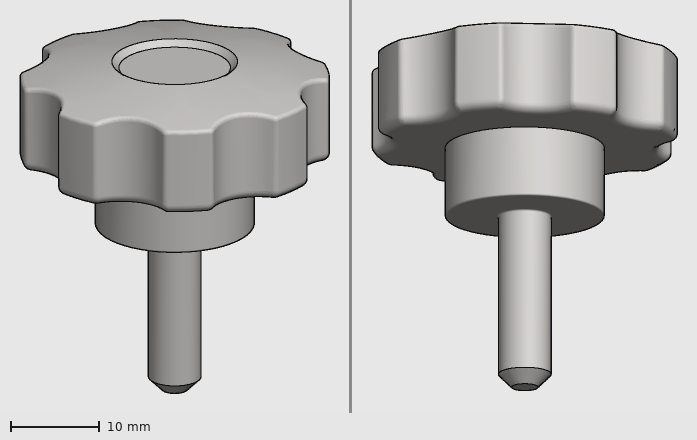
import cadquery as cq
import math

total_height = 39.67
hub_base = 20.0
head_base = 28.0

stud_radius = 6.0 / 2
tip_chamfer = 1.5
stud_root_fillet = 0.2

hub_radius = 18.0 / 2
hub_edge_fillet = 0.2

head_radius = 35.0 / 2
dome_radius = 74.98
recess_rim_radius = 7.1
recess_floor_radius = 6.3
recess_depth = 0.7

scallop_count = 8
scallop_radius = 5.28
scallop_inner_reach = 15.2
scallop_center = scallop_inner_reach + scallop_radius

lobe_corner_fillet = 0.75
top_edge_fillet = 0.5
bottom_edge_fillet = 1.0


def dome_height(radius):
    """Height of the spherical top, which meets the recess rim at the total height."""
    center_height = total_height - math.sqrt(dome_radius**2 - recess_rim_radius**2)
    return center_height + math.sqrt(dome_radius**2 - radius**2)


def make_head():
    """Domed disc with finger scallops and rounded edges."""
    blank = (
        cq.Workplane("XZ")
        .moveTo(0, head_base)
        .lineTo(head_radius, head_base)
        .lineTo(head_radius, dome_height(head_radius))
        .threePointArc((head_radius / 2, dome_height(head_radius / 2)), (0, dome_height(0)))
        .close()
        .revolve(360, (0, 0, 0), (0, 1, 0))
    )
    scallops = (
        cq.Workplane("XY", origin=(0, 0, head_base))
        .polarArray(scallop_center, 0, 360, scallop_count)
        .circle(scallop_radius)
        .extrude(total_height - head_base)
    )
    head = blank.cut(scallops)
    head = head.edges("|Z").fillet(lobe_corner_fillet)
    head = head.faces("<Z").edges().fillet(bottom_edge_fillet)
    return head.faces(">Z").edges().fillet(top_edge_fillet)


def make_recess():
    """Tapered round recess in the dome, open above the rim."""
    return (
        cq.Workplane("XZ")
        .moveTo(0, total_height - recess_depth)
        .lineTo(recess_floor_radius, total_height - recess_depth)
        .lineTo(recess_rim_radius, total_height)
        .lineTo(recess_rim_radius, dome_height(0))
        .lineTo(0, dome_height(0))
        .close()
        .revolve(360, (0, 0, 0), (0, 1, 0))
    )


def make_hub():
    """Plain cylinder below the head, with a softened lower rim."""
    return (
        cq.Workplane("XY", origin=(0, 0, hub_base))
        .circle(hub_radius)
        .extrude(head_base - hub_base)
        .faces("<Z")
        .edges()
        .fillet(hub_edge_fillet)
    )


def make_stud():
    """Round stud with a chamfered tip."""
    return (
        cq.Workplane("XY")
        .circle(stud_radius)
        .extrude(hub_base)
        .faces("<Z")
        .edges()
        .chamfer(tip_chamfer)
    )


def is_stud_root(edge):
    """True for the circle where the stud meets the underside of the hub."""
    on_hub_base = math.isclose(edge.Center().z, hub_base, abs_tol=stud_root_fillet / 2)
    return on_hub_base and math.isclose(edge.BoundingBox().xlen, 2 * stud_radius, rel_tol=0.01)


def join_stud(knob, stud):
    """Join the stud to the knob and round the inner corner at its root."""
    joined = knob.union(stud)
    root_edges = [edge for edge in joined.edges().vals() if is_stud_root(edge)]
    return joined.newObject(root_edges).fillet(stud_root_fillet)


knob = make_head().cut(make_recess()).union(make_hub())
result = join_stud(knob, make_stud())